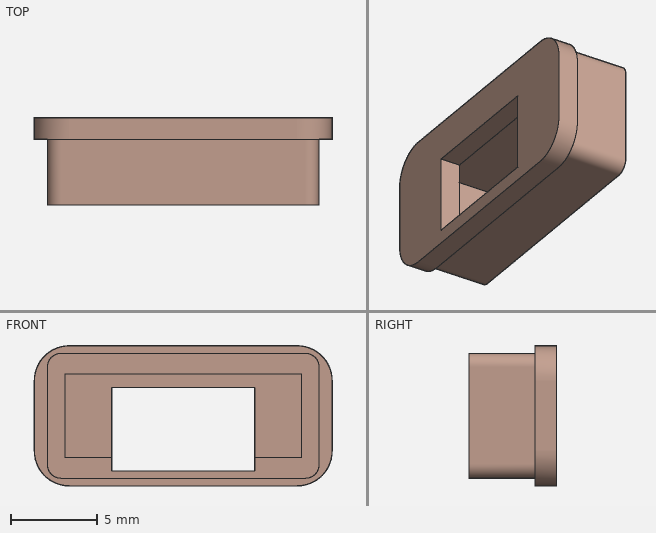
import cadquery as cq

flange_length = 17.27
flange_height = 8.13
flange_thickness = 1.26
flange_corner_radius = 2.04

total_depth = 5.08
sleeve_length = 15.73
sleeve_height = 7.24
sleeve_corner_radius = 0.78

pocket_length = 13.71
pocket_height = 4.84
back_wall_thickness = 1.26
pocket_depth = total_depth - back_wall_thickness

window_length = 8.27
window_height = 4.84
window_drop = 0.78


def block(length, height, depth, center_z=0.0):
    """Box starting at the -Y end face (Y = 0) and running toward +Y."""
    return (
        cq.Workplane("XY")
        .box(length, depth, height, centered=(True, False, True))
        .translate((0, 0, center_z))
    )


sleeve = block(sleeve_length, sleeve_height, total_depth).edges("|Y").fillet(sleeve_corner_radius)

flange = (
    block(flange_length, flange_height, flange_thickness)
    .edges("|Y")
    .fillet(flange_corner_radius)
    .translate((0, total_depth - flange_thickness, 0))
)

pocket = block(pocket_length, pocket_height, pocket_depth)
window = block(window_length, window_height, total_depth, -window_drop)

result = sleeve.union(flange).cut(pocket).cut(window)